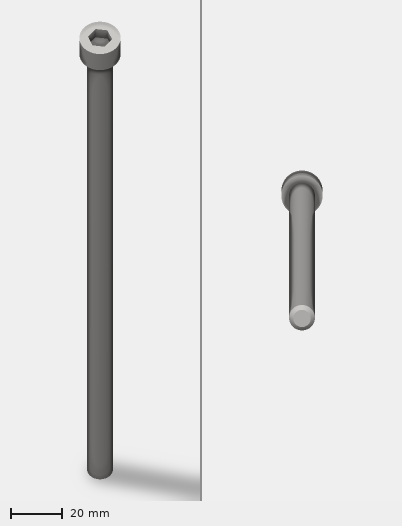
import cadquery as cq
import math

total_length = 270.0
head_diameter = 16.0
head_height = 10.0
shank_diameter = 10.0
tip_chamfer = 1.5
socket_across_flats = 8.0
socket_depth = 5.0

bottom_z = -total_length / 2
top_z = total_length / 2
head_bottom_z = top_z - head_height


def cylinder(diameter, z_start, z_end):
    return cq.Workplane("XY").workplane(offset=z_start).circle(diameter / 2).extrude(z_end - z_start)


shank = cylinder(shank_diameter, bottom_z, head_bottom_z).faces("<Z").chamfer(tip_chamfer)
head = cylinder(head_diameter, head_bottom_z, top_z)

socket_across_corners = socket_across_flats / math.cos(math.radians(30))
socket = (
    cq.Workplane("XY")
    .workplane(offset=top_z - socket_depth)
    .polygon(6, socket_across_corners)
    .extrude(socket_depth)
)

result = shank.union(head).cut(socket)